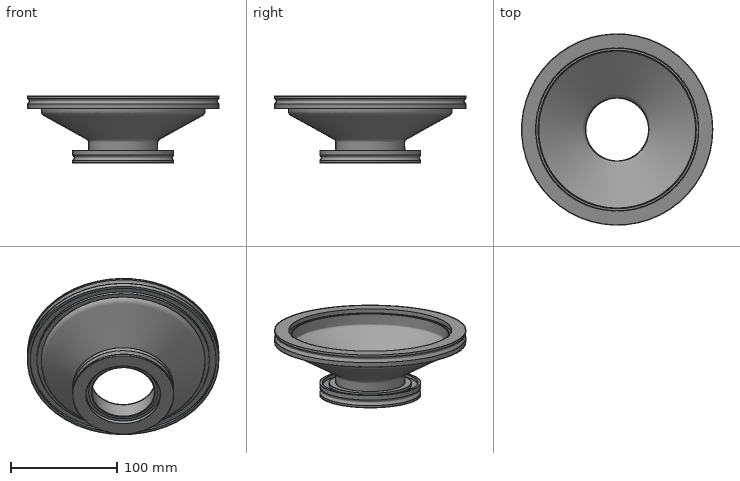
import cadquery as cq
import math

total_height = 63.0
flange_thickness = 11.9

rim_groove_offset = 2.2
rim_groove_width = 5.4
rim_groove_flank = 1.6
rim_groove_flank_depth = 1.0
rim_groove_depth = 1.6

recess_depth = 4.0
lip_thickness = 0.4
back_groove_depth = 2.7

large_flange_radius = 180.0 / 2
large_recess_radius = 153.0 / 2
large_lip_radius = 149.0 / 2
large_back_groove_radii = (162.4 / 2, 175.0 / 2)

small_flange_radius = 95.0 / 2
small_recess_radius = 70.0 / 2
small_lip_radius = 60.1 / 2
small_back_groove_radii = (77.2 / 2, 89.8 / 2)

mouth_outer_radius = 154.0 / 2
mouth_inner_radius = 147.8 / 2
neck_outer_radius = 65.0 / 2
neck_inner_radius = 59.0 / 2
cone_angle = math.radians(29)
shoulder_height = 46.0
shoulder_fillet = 5.0
throat_fillet = 6.0
tube_inset = recess_depth + lip_thickness
cone_wall = neck_outer_radius - neck_inner_radius
bend_tolerance = 0.2


def revolve_about_z(profile):
    """Turn a closed radius/height profile on the XZ plane into a solid of revolution."""
    return profile.close().revolve(360, (0, 0, 0), (0, 1, 0))


def ring(inner_radius, outer_radius, bottom, height):
    """Plain ring standing on the given height."""
    base = cq.Workplane("XY").workplane(offset=bottom)
    return base.circle(outer_radius).circle(inner_radius).extrude(height)


def make_rim_groove(flange_radius):
    """Ring-shaped cutter with sloping flanks and a rounded bottom."""
    start = rim_groove_offset
    end = start + rim_groove_width
    flank_end_radius = flange_radius - rim_groove_flank_depth
    profile = (
        cq.Workplane("XZ")
        .moveTo(flange_radius, start)
        .lineTo(flank_end_radius, start + rim_groove_flank)
        .threePointArc(
            (flange_radius - rim_groove_depth, (start + end) / 2),
            (flank_end_radius, end - rim_groove_flank),
        )
        .lineTo(flange_radius, end)
    )
    return revolve_about_z(profile)


def make_flange(flange_radius, recess_radius, lip_radius, socket_radius, back_groove_radii):
    """Flange with its outer face at Z = 0 and its back face above it."""
    flange = ring(lip_radius, flange_radius, 0, flange_thickness)
    recess = cq.Workplane("XY").circle(recess_radius).extrude(recess_depth)
    socket = (
        cq.Workplane("XY")
        .workplane(offset=tube_inset)
        .circle(socket_radius)
        .extrude(flange_thickness - tube_inset)
    )
    back_groove = ring(*back_groove_radii, flange_thickness - back_groove_depth, back_groove_depth)
    return flange.cut(recess).cut(socket).cut(back_groove).cut(make_rim_groove(flange_radius))


def make_funnel():
    """Conical reducer with a short tube at each end, both seated in the flanges."""
    bottom = tube_inset
    top = total_height - tube_inset

    def cone_outer_height(radius):
        return shoulder_height - (mouth_outer_radius - radius) * math.tan(cone_angle)

    def cone_inner_height(radius):
        return cone_outer_height(radius) + cone_wall / math.cos(cone_angle)

    outer_shoulder = (mouth_outer_radius, shoulder_height)
    inner_shoulder = (mouth_inner_radius, cone_inner_height(mouth_inner_radius))
    outer_throat = (neck_outer_radius, cone_outer_height(neck_outer_radius))
    inner_throat = (neck_inner_radius, cone_inner_height(neck_inner_radius))
    funnel = revolve_about_z(
        cq.Workplane("XZ").polyline([
            (neck_inner_radius, bottom),
            (neck_outer_radius, bottom),
            outer_throat,
            outer_shoulder,
            (mouth_outer_radius, top),
            (mouth_inner_radius, top),
            inner_shoulder,
            inner_throat,
        ])
    )

    bends = [
        (outer_shoulder, shoulder_fillet),
        (inner_shoulder, shoulder_fillet - cone_wall),
        (inner_throat, throat_fillet),
        (outer_throat, throat_fillet - cone_wall),
    ]
    for (radius, height), bend_radius in bends:
        reach = radius + bend_tolerance
        corner_box = cq.selectors.BoxSelector(
            (-reach, -reach, height - bend_tolerance),
            (reach, reach, height + bend_tolerance),
            boundingbox=True,
        )
        funnel = funnel.edges(corner_box).fillet(bend_radius)
    return funnel


large_flange = (
    make_flange(
        large_flange_radius,
        large_recess_radius,
        large_lip_radius,
        mouth_outer_radius,
        large_back_groove_radii,
    )
    .rotate((0, 0, 0), (1, 0, 0), 180)
    .translate((0, 0, total_height))
)
small_flange = make_flange(
    small_flange_radius,
    small_recess_radius,
    small_lip_radius,
    neck_outer_radius,
    small_back_groove_radii,
)
funnel = make_funnel()

result = cq.Compound.makeCompound([large_flange.val(), small_flange.val(), funnel.val()])